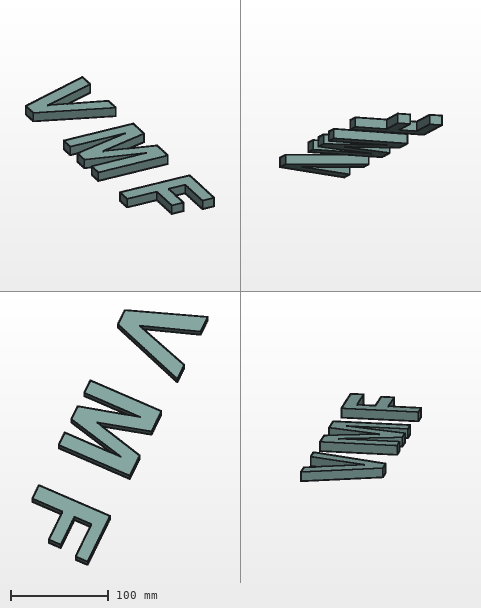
import cadquery as cq

TOTAL_WIDTH = 293.0
LETTER_HEIGHT = 80.0
THICKNESS = 10.0

V_WIDTH = 74.5
V_LEFT_ARM_WIDTH = 17.5
V_RIGHT_ARM_WIDTH = 17.0
V_FOOT_INSET = 28.7
V_CROTCH_X = 37.8
V_CROTCH_HEIGHT = 20.8

M_LEFT = 112.8
M_WIDTH = 77.3
M_STEM_WIDTH = 15.0
M_SHOULDER_WIDTH = 24.3
M_CROTCH_HEIGHT = 25.5
M_NOTCH_HEIGHT = 63.0
M_FOOT_WIDTH = 15.5

F_WIDTH = 54.8
F_STEM_WIDTH = 16.0
F_BAR_HEIGHT = 13.5
F_MIDDLE_BAR_END = 49.5
F_MIDDLE_BAR_BOTTOM = 34.0


def letter_plate(outline, left):
    """Extrude a closed outline whose left edge is placed at X = left."""
    return cq.Workplane("XY").polyline(outline).close().extrude(THICKNESS).translate((left, 0, 0))


def make_letter_v():
    return letter_plate(
        [
            (V_FOOT_INSET, 0),
            (0, LETTER_HEIGHT),
            (V_LEFT_ARM_WIDTH, LETTER_HEIGHT),
            (V_CROTCH_X, V_CROTCH_HEIGHT),
            (V_WIDTH - V_RIGHT_ARM_WIDTH, LETTER_HEIGHT),
            (V_WIDTH, LETTER_HEIGHT),
            (V_WIDTH - V_FOOT_INSET, 0),
        ],
        left=0,
    )


def make_letter_m():
    center = M_WIDTH / 2
    left_half = [
        (center - M_FOOT_WIDTH / 2, 0),
        (M_STEM_WIDTH, M_NOTCH_HEIGHT),
        (M_STEM_WIDTH, 0),
        (0, 0),
        (0, LETTER_HEIGHT),
        (M_SHOULDER_WIDTH, LETTER_HEIGHT),
    ]
    right_half = [(M_WIDTH - x, y) for x, y in reversed(left_half)]
    return letter_plate(left_half + [(center, M_CROTCH_HEIGHT)] + right_half, left=M_LEFT)


def make_letter_f():
    top_bar_bottom = LETTER_HEIGHT - F_BAR_HEIGHT
    middle_bar_top = F_MIDDLE_BAR_BOTTOM + F_BAR_HEIGHT
    return letter_plate(
        [
            (0, 0),
            (0, LETTER_HEIGHT),
            (F_WIDTH, LETTER_HEIGHT),
            (F_WIDTH, top_bar_bottom),
            (F_STEM_WIDTH, top_bar_bottom),
            (F_STEM_WIDTH, middle_bar_top),
            (F_MIDDLE_BAR_END, middle_bar_top),
            (F_MIDDLE_BAR_END, F_MIDDLE_BAR_BOTTOM),
            (F_STEM_WIDTH, F_MIDDLE_BAR_BOTTOM),
            (F_STEM_WIDTH, 0),
        ],
        left=TOTAL_WIDTH - F_WIDTH,
    )


letter_v = make_letter_v()
letter_m = make_letter_m()
letter_f = make_letter_f()

result = cq.Compound.makeCompound([letter_v.val(), letter_m.val(), letter_f.val()])